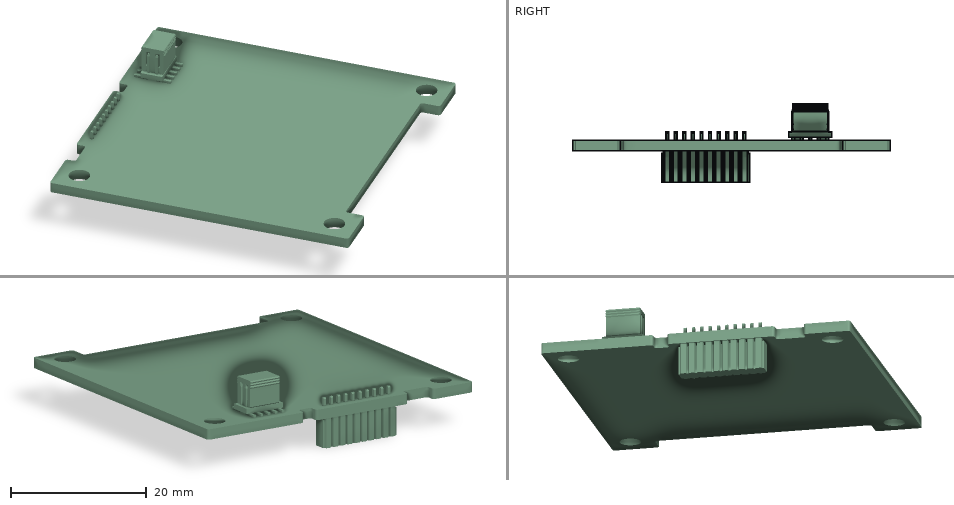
import cadquery as cq


BOARD_SIZE = 46.8
BOARD_THICKNESS = 1.6
MOUNT_HOLE_DIAMETER = 3.2
MOUNT_HOLE_OFFSET = 20.0
CORNER_RADIUS = 0.4
LEFT_NOTCH_DEPTH = 1.5
UPPER_NOTCH_TOP = 6.45
UPPER_NOTCH_BOTTOM = 4.25
LOWER_NOTCH_TOP = -11.95
TAB_EDGE = 16.4
RIGHT_NOTCH_DEPTH = 3.0

PITCH = 1.25

HEADER_POSITIONS = 10
HEADER_X = -21.85
HEADER_Y = -3.8
HEADER_HEIGHT = 4.65
HEADER_GAP = 0.37
CORE_WIDTH = 1.95
CORE_LENGTH = 12.95
RIB_ROOT_OFFSET = 0.9
RIB_TIP_OFFSET = 1.3
RIB_ROOT_WIDTH = 1.1
RIB_TIP_WIDTH = 0.8
HEADER_PIN_X_SIZE = 0.45
HEADER_PIN_Y_SIZE = 0.4
HEADER_PIN_PROTRUSION = 1.2
HEADER_PIN_BEVEL_HEIGHT = 0.2
HEADER_PIN_BEVEL_WIDTH = 0.1
PIN_HOLE_DIAMETER = 0.65

PLUG_POSITIONS = 5
PLUG_X = -19.0
PLUG_Y = 11.6
PLUG_HEIGHT = 5.35
BASE_X_SIZE = 3.4
BASE_Y_SIZE = 6.35
BASE_HEIGHT = 0.8
LEAD_THICKNESS = 0.4
LEAD_WIDTH = 0.4
LEAD_SPAN = 5.75
LEAD_INNER_OFFSET = 0.7
CONTACT_SIZE = 0.4
CONTACT_ROW_OFFSET = 0.65
CONTACT_HEIGHT = 3.25
CONTACT_TIP_HEIGHT = 0.4
CONTACT_TIP_SIZE = 0.2
PEG_DIAMETER = 1.05
PEG_OFFSET = 1.5 * PITCH

CAP_LENGTH = 5.15
CAP_HEIGHT = PLUG_HEIGHT - LEAD_THICKNESS - BASE_HEIGHT
CAP_BOTTOM_CHAMFER = 0.15
RIDGE_COUNT = 3
RIDGE_HEIGHT = 0.4
RIDGE_DEPTH = 0.1
SLOT_INNER_OFFSET = 0.4
SLOT_OUTER_OFFSET = 1.08
SLOT_HEIGHT = 3.4
BUMP_BOTTOM = 0.4
BUMP_TOP = 1.1
BUMP_DEPTH = 0.2
SLOT_FLARE = 0.115

BASE_BOTTOM = BOARD_THICKNESS + LEAD_THICKNESS
BASE_TOP = BASE_BOTTOM + BASE_HEIGHT


def centred_positions(count):
    """Evenly pitched positions, centred on zero."""
    return [(i - (count - 1) / 2) * PITCH for i in range(count)]


HEADER_PIN_YS = [HEADER_Y + y for y in centred_positions(HEADER_POSITIONS)]
LEAD_YS = [PLUG_Y + y for y in centred_positions(PLUG_POSITIONS)]


def make_board():
    """Round-cornered square board, notched twice at -X and once between two tabs at +X."""
    half = BOARD_SIZE / 2
    left_notch_x = -half + LEFT_NOTCH_DEPTH
    right_notch_x = half - RIGHT_NOTCH_DEPTH
    outline = [
        (-half, half),
        (half, half),
        (half, TAB_EDGE),
        (right_notch_x, TAB_EDGE),
        (right_notch_x, -TAB_EDGE),
        (half, -TAB_EDGE),
        (half, -half),
        (-half, -half),
        (-half, -TAB_EDGE),
        (left_notch_x, -TAB_EDGE),
        (left_notch_x, LOWER_NOTCH_TOP),
        (-half, LOWER_NOTCH_TOP),
        (-half, UPPER_NOTCH_BOTTOM),
        (left_notch_x, UPPER_NOTCH_BOTTOM),
        (left_notch_x, UPPER_NOTCH_TOP),
        (-half, UPPER_NOTCH_TOP),
    ]
    board = cq.Workplane("XY").polyline(outline).close().extrude(BOARD_THICKNESS)
    board = board.edges("|Z").fillet(CORNER_RADIUS)

    mount_points = [(sx * MOUNT_HOLE_OFFSET, sy * MOUNT_HOLE_OFFSET) for sx in (-1, 1) for sy in (-1, 1)]
    mount_holes = (
        cq.Workplane("XY").pushPoints(mount_points).circle(MOUNT_HOLE_DIAMETER / 2).extrude(BOARD_THICKNESS)
    )
    pin_holes = (
        cq.Workplane("XY")
        .pushPoints([(HEADER_X, y) for y in HEADER_PIN_YS])
        .circle(PIN_HOLE_DIAMETER / 2)
        .extrude(BOARD_THICKNESS)
    )
    return board.cut(mount_holes).cut(pin_holes)


def make_header_rib(side, y):
    """Tapered rib whose upper end stands against the board underside."""
    root_x = HEADER_X + side * RIB_ROOT_OFFSET
    tip_x = HEADER_X + side * RIB_TIP_OFFSET
    profile = [
        (root_x, y - RIB_ROOT_WIDTH / 2),
        (tip_x, y - RIB_TIP_WIDTH / 2),
        (tip_x, y + RIB_TIP_WIDTH / 2),
        (root_x, y + RIB_ROOT_WIDTH / 2),
    ]
    return cq.Workplane("XY").workplane(offset=-HEADER_HEIGHT).polyline(profile).close().extrude(HEADER_HEIGHT)


def make_header_pin(y):
    """Rectangular pin through the board, bevelled on its two X sides at the tip."""
    half = HEADER_PIN_X_SIZE / 2
    tip_half = half - HEADER_PIN_BEVEL_WIDTH
    top = BOARD_THICKNESS + HEADER_PIN_PROTRUSION
    shoulder = top - HEADER_PIN_BEVEL_HEIGHT
    profile = [
        (HEADER_X - half, -HEADER_GAP),
        (HEADER_X + half, -HEADER_GAP),
        (HEADER_X + half, shoulder),
        (HEADER_X + tip_half, top),
        (HEADER_X - tip_half, top),
        (HEADER_X - half, shoulder),
    ]
    pin = cq.Workplane("XZ").polyline(profile).close().extrude(HEADER_PIN_Y_SIZE / 2, both=True)
    return pin.translate((0, y, 0))


def make_header():
    """Ribbed header block with its row of pins."""
    header = cq.Workplane("XY").box(
        CORE_WIDTH, CORE_LENGTH, HEADER_HEIGHT - HEADER_GAP, centered=(True, True, False)
    ).translate((HEADER_X, HEADER_Y, -HEADER_HEIGHT))
    for y in HEADER_PIN_YS:
        header = header.union(make_header_rib(-1, y)).union(make_header_rib(1, y))
        header = header.union(make_header_pin(y))
    return header


def make_terminal(side, y):
    """Flat lead on the board plus an upright contact with a tapered tip."""
    lead_length = LEAD_SPAN / 2 - LEAD_INNER_OFFSET
    lead_x = PLUG_X + side * (LEAD_INNER_OFFSET + lead_length / 2)
    lead = cq.Workplane("XY").box(
        lead_length, LEAD_WIDTH, LEAD_THICKNESS, centered=(True, True, False)
    ).translate((lead_x, y, BOARD_THICKNESS))

    contact_x = PLUG_X + side * CONTACT_ROW_OFFSET
    shaft_height = CONTACT_HEIGHT - CONTACT_TIP_HEIGHT
    contact = (
        cq.Workplane("XY")
        .rect(CONTACT_SIZE, CONTACT_SIZE)
        .extrude(shaft_height)
        .faces(">Z")
        .workplane()
        .rect(CONTACT_SIZE, CONTACT_SIZE)
        .workplane(offset=CONTACT_TIP_HEIGHT)
        .rect(CONTACT_TIP_SIZE, CONTACT_TIP_SIZE)
        .loft(combine=True)
        .translate((contact_x, y, BASE_TOP))
    )
    return lead, contact


def make_plug_base():
    """Insulator bar with two locating pegs and two rows of terminals."""
    base = cq.Workplane("XY").box(
        BASE_X_SIZE, BASE_Y_SIZE, BASE_HEIGHT, centered=(True, True, False)
    ).translate((PLUG_X, PLUG_Y, BASE_BOTTOM))
    pegs = (
        cq.Workplane("XY")
        .workplane(offset=BOARD_THICKNESS)
        .pushPoints([(PLUG_X, PLUG_Y - PEG_OFFSET), (PLUG_X, PLUG_Y + PEG_OFFSET)])
        .circle(PEG_DIAMETER / 2)
        .extrude(LEAD_THICKNESS)
    )
    base = base.union(pegs)
    for y in LEAD_YS:
        for side in (-1, 1):
            lead, contact = make_terminal(side, y)
            base = base.union(lead).union(contact)
    return base


def cap_side_outline():
    """Outline of the cap's +X side from bottom to top, ridges included."""
    half = BASE_X_SIZE / 2
    points = [(half - CAP_BOTTOM_CHAMFER, 0), (half, CAP_BOTTOM_CHAMFER)]
    ridges_bottom = CAP_HEIGHT - RIDGE_COUNT * RIDGE_HEIGHT
    for i in range(RIDGE_COUNT):
        ridge_bottom = ridges_bottom + i * RIDGE_HEIGHT
        points.append((half, ridge_bottom))
        points.append((half + RIDGE_DEPTH, ridge_bottom + RIDGE_HEIGHT / 2))
    points.append((half, CAP_HEIGHT))
    return points


def make_cap():
    """Cap with ridged sides and two through slots that clear the contact rows."""
    right_side = cap_side_outline()
    left_side = [(-x, z) for x, z in reversed(right_side)]
    cap = cq.Workplane("XZ").polyline(right_side + left_side).close().extrude(CAP_LENGTH / 2, both=True)

    bump_face = SLOT_OUTER_OFFSET - BUMP_DEPTH
    slot_profile = [
        (SLOT_INNER_OFFSET - SLOT_FLARE, 0),
        (SLOT_INNER_OFFSET, BUMP_BOTTOM),
        (SLOT_INNER_OFFSET, SLOT_HEIGHT),
        (SLOT_OUTER_OFFSET, SLOT_HEIGHT),
        (SLOT_OUTER_OFFSET, BUMP_TOP),
        (bump_face, BUMP_TOP),
        (bump_face, BUMP_BOTTOM),
        (SLOT_OUTER_OFFSET + SLOT_FLARE, 0),
    ]
    for side in (-1, 1):
        points = [(side * x, z) for x, z in slot_profile]
        cap = cap.cut(cq.Workplane("XZ").polyline(points).close().extrude(CAP_LENGTH / 2, both=True))
    return cap.translate((PLUG_X, PLUG_Y, BASE_TOP))


board = make_board()
header = make_header()
plug_base = make_plug_base()
cap = make_cap()

result = cq.Compound.makeCompound([board.val(), header.val(), plug_base.val(), cap.val()])